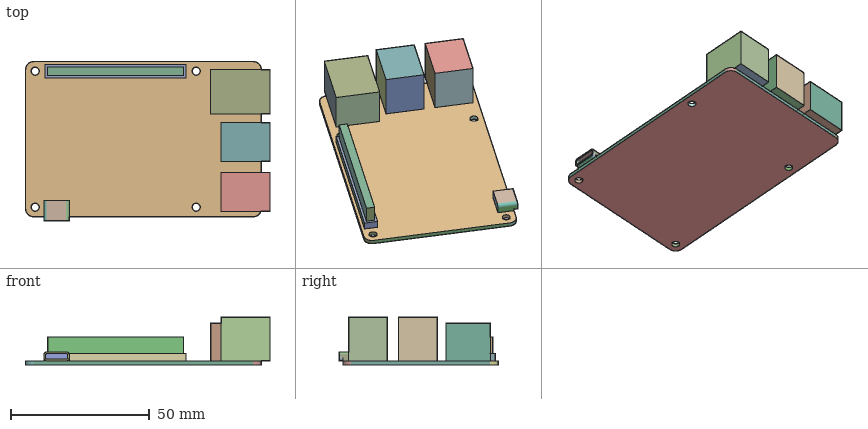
import cadquery as cq


board_length = 85.0
board_width = 56.0
board_thickness = 1.5
corner_radius = 3.0

hole_diameter = 2.8
hole_inset = 3.5
hole_pitch_x = 58.0
hole_pitch_y = board_width - 2 * hole_inset

connector_end_x = 88.1
usb_length = 17.6
usb_width = 14.0
usb_height = 15.8
usb_centers_y = (9.0, 27.0)
ethernet_length = 21.4
ethernet_width = 16.0
ethernet_height = 13.6
ethernet_center_y = 45.1

header_center_x = hole_inset + hole_pitch_x / 2
header_center_y = board_width - hole_inset
header_base_length = 50.8
header_base_width = 4.8
header_base_height = 2.7
header_pins_length = 49.0
header_pins_width = 3.0
header_pins_height = 8.7

socket_center_x = 11.2
socket_width = 9.2
socket_height = 3.3
socket_length = 7.35
socket_overhang = 1.4
socket_corner_radius = 1.1
socket_wall = 0.65
socket_cavity_depth = socket_length - socket_wall


def block_on_board(center_x, center_y, length, width, height):
    """Plain block standing on the top face of the board."""
    return (
        cq.Workplane("XY", origin=(center_x, center_y, board_thickness))
        .box(length, width, height, centered=(True, True, False))
    )


def make_board():
    """Rounded rectangular plate with four mounting holes."""
    hole_centers = [
        (x, y)
        for x in (hole_inset, hole_inset + hole_pitch_x)
        for y in (hole_inset, hole_inset + hole_pitch_y)
    ]
    plate = cq.Workplane("XY").box(board_length, board_width, board_thickness, centered=False)
    plate = plate.edges("|Z").fillet(corner_radius)
    return (
        plate.faces(">Z").workplane(origin=(0, 0, board_thickness))
        .pushPoints(hole_centers)
        .hole(hole_diameter)
    )


def make_edge_connector(center_y, length, width, height):
    """Block whose outer end lines up with the other +X connectors."""
    return block_on_board(connector_end_x - length / 2, center_y, length, width, height)


def make_header():
    """Header base with the narrower block of pins rising from it."""
    base = block_on_board(
        header_center_x, header_center_y, header_base_length, header_base_width, header_base_height
    )
    pins = block_on_board(
        header_center_x, header_center_y, header_pins_length, header_pins_width, header_pins_height
    )
    return base.union(pins)


def rounded_bar(width, height, radius, length):
    """Bar along +Y from the socket mouth, with its four long edges rounded."""
    mouth_center = (socket_center_x, -socket_overhang, board_thickness + socket_height / 2)
    return (
        cq.Workplane("XZ", origin=mouth_center)
        .rect(width, height)
        .extrude(-length)
        .edges("|Y")
        .fillet(radius)
    )


def make_socket():
    """Rounded shell open to -Y, with a square-sided foot where it rests on the board."""
    shell = rounded_bar(socket_width, socket_height, socket_corner_radius, socket_length)
    foot_length = socket_length - socket_overhang
    foot = block_on_board(
        socket_center_x, foot_length / 2, socket_width, foot_length, socket_height / 2
    )
    cavity = rounded_bar(
        socket_width - 2 * socket_wall,
        socket_height - 2 * socket_wall,
        socket_corner_radius - socket_wall,
        socket_cavity_depth,
    )
    return shell.union(foot).cut(cavity)


result = make_board()
for usb_center_y in usb_centers_y:
    result = result.union(make_edge_connector(usb_center_y, usb_length, usb_width, usb_height))
result = result.union(
    make_edge_connector(ethernet_center_y, ethernet_length, ethernet_width, ethernet_height)
)
result = result.union(make_header())
result = result.union(make_socket())